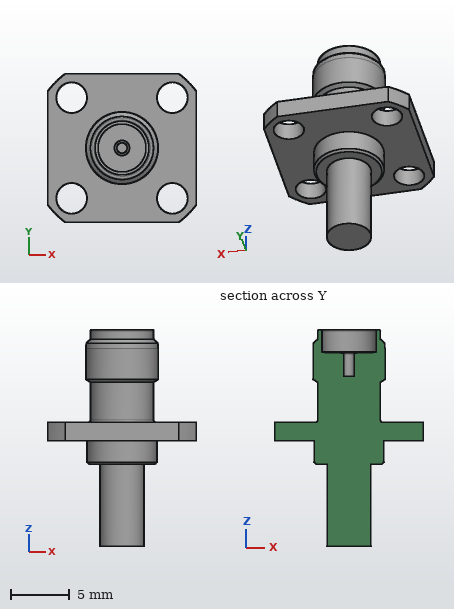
import cadquery as cq
import math

flange_thickness = 1.6
total_height = 18.5
body_height_below = 9.0
boss_height = 2.0
top_z = total_height - body_height_below
boss_bottom_z = -boss_height
tube_bottom_z = -body_height_below

flange_width = 12.7
flange_corner_diameter = 16.0
mounting_hole_diameter = 2.6
mounting_hole_spacing = 8.6

barrel_radius = 2.7
barrel_rim_fillet = 0.1
barrel_root_fillet = 0.2
boss_radius = 3.0
boss_chamfer = 0.2
tube_radius = 1.9

collar_radius = 3.1
collar_lip_radius = 3.07
collar_top_z = top_z - 0.8
collar_lip_z = top_z - 1.15
collar_band_top_z = top_z - 1.6
collar_band_bottom_z = top_z - 4.25
collar_bottom_z = top_z - 4.5

socket_radius = 2.3
socket_rim_fillet = 0.1
socket_depth = 1.9
insulator_radius = 2.05
insulator_recess = 0.06

contact_radius = 0.65
contact_hole_radius = 0.44
contact_edge_fillet = 0.1
contact_hole_depth = 2.0

socket_floor_z = top_z - socket_depth
insulator_z = socket_floor_z - insulator_recess
contact_hole_bottom_z = insulator_z - contact_hole_depth


def quarter_round(profile, centre, radius, start_angle, end_angle):
    """Line to the start of an arc around centre, then follow it to the end angle (degrees)."""

    def on_arc(angle):
        turn = math.radians(angle)
        return (centre[0] + radius * math.cos(turn), centre[1] + radius * math.sin(turn))

    start = on_arc(start_angle)
    middle = on_arc((start_angle + end_angle) / 2)
    end = on_arc(end_angle)
    return profile.lineTo(*start).threePointArc(middle, end)


def revolve_about_z(profile):
    """Turn a closed (radius, height) outline on the XZ plane around the Z axis."""
    return profile.close().revolve(360, (0, 0, 0), (0, 1, 0))


def make_flange():
    """Square plate with rounded-off corners and four mounting holes."""
    plate = cq.Workplane("XY").rect(flange_width, flange_width).extrude(flange_thickness)
    corner_round = cq.Workplane("XY").circle(flange_corner_diameter / 2).extrude(flange_thickness)
    plate = plate.intersect(corner_round)
    return (
        plate.faces(">Z")
        .workplane()
        .rect(mounting_hole_spacing, mounting_hole_spacing, forConstruction=True)
        .vertices()
        .hole(mounting_hole_diameter)
    )


def make_stem():
    """Solid turned body: tube, boss, barrel and collar."""
    root_centre = (barrel_radius + barrel_root_fillet, flange_thickness + barrel_root_fillet)
    rim_centre = (barrel_radius - barrel_rim_fillet, top_z - barrel_rim_fillet)
    profile = (
        cq.Workplane("XZ")
        .moveTo(0, tube_bottom_z)
        .lineTo(tube_radius, tube_bottom_z)
        .lineTo(tube_radius, boss_bottom_z)
        .lineTo(boss_radius - boss_chamfer, boss_bottom_z)
        .lineTo(boss_radius, boss_bottom_z + boss_chamfer)
        .lineTo(boss_radius, flange_thickness)
    )
    profile = quarter_round(profile, root_centre, barrel_root_fillet, 270, 180)
    profile = (
        profile.lineTo(barrel_radius, collar_bottom_z)
        .lineTo(collar_radius, collar_band_bottom_z)
        .lineTo(collar_radius, collar_band_top_z)
        .lineTo(collar_lip_radius, collar_lip_z)
        .lineTo(barrel_radius, collar_top_z)
    )
    profile = quarter_round(profile, rim_centre, barrel_rim_fillet, 0, 90)
    return revolve_about_z(profile.lineTo(0, top_z))


def make_socket_cutter():
    """Space inside the barrel: socket, insulator recess and contact hole."""
    rim_centre = (socket_radius + socket_rim_fillet, top_z - socket_rim_fillet)
    fillet_z = insulator_z - contact_edge_fillet
    outer_edge_centre = (contact_radius - contact_edge_fillet, fillet_z)
    hole_mouth_centre = (contact_hole_radius + contact_edge_fillet, fillet_z)
    profile = cq.Workplane("XZ").moveTo(0, top_z)
    profile = quarter_round(profile, rim_centre, socket_rim_fillet, 90, 180)
    profile = (
        profile.lineTo(socket_radius, socket_floor_z)
        .lineTo(insulator_radius, socket_floor_z)
        .lineTo(insulator_radius, insulator_z)
        .lineTo(contact_radius, insulator_z)
    )
    profile = quarter_round(profile, outer_edge_centre, contact_edge_fillet, 0, 90)
    profile = quarter_round(profile, hole_mouth_centre, contact_edge_fillet, 90, 180)
    profile = profile.lineTo(contact_hole_radius, contact_hole_bottom_z).lineTo(0, contact_hole_bottom_z)
    return revolve_about_z(profile)


result = make_flange().union(make_stem()).cut(make_socket_cutter())